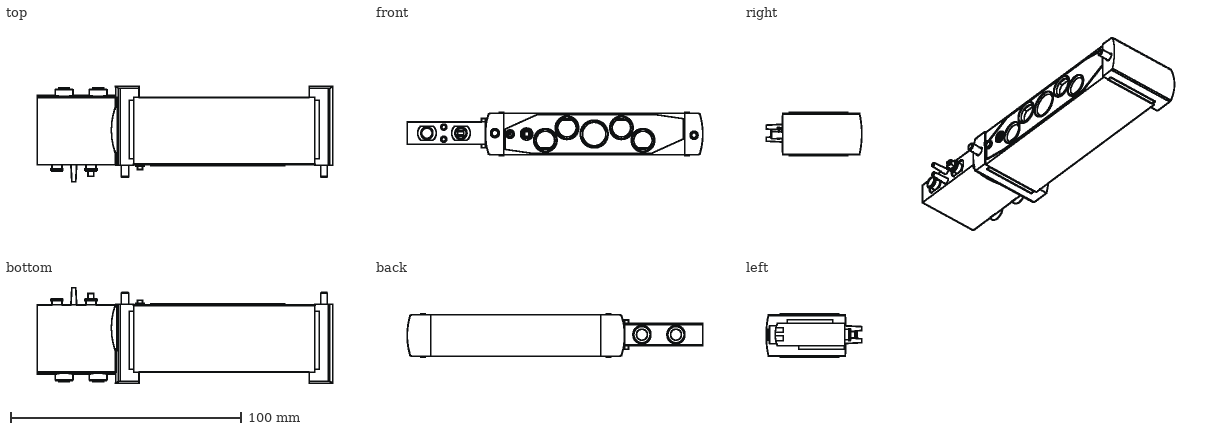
import cadquery as cq


total_length = 128.4
valve_start = 34.0
cap_width = 7.8
cap_depth = 34.4
body_height = 18.1
housing_start = valve_start + cap_width
housing_length = total_length - valve_start - 2 * cap_width
valve_center = (valve_start + total_length) / 2

housing_front = 0.6
housing_back = 29.5
pad_front = 0.3
rim_front = -0.1
pad_half_height = 8.3
pad_end_gap = 0.8
pad_blunt_z = 2.2
pad_sharp_z = 6.7
pad_long_taper = 13.6
pad_short_taper = 11.4

deep_port_depth = 7.7
shallow_port_depth = 2.3
port_chamfer = 0.8
main_port_rim = 12.1
main_port_bore = 10.1
side_port_rim = 10.1
side_port_bore = 8.0
side_port_flat = 3.3
side_port_z = 2.7
inner_port_pitch = 11.8
outer_port_pitch = 21.2

override_x = 51.9
override_rim = 5.3
override_bore = 3.9
override_depth = 1.3
override_button = 3.0
override_button_recess = 0.4
override_socket = 1.8
override_socket_depth = 0.6

guide_x = 44.7
guide_flange_diameter = 3.6
guide_flange_front = -0.4
guide_pin_diameter = 2.3
guide_tip = -1.8
guide_hole = 0.8

cap_bulge = 1.3
cap_back_bulge = 1.0
cap_corner_length = 0.8
cap_corner_height = 0.4
hook_overlap = 2.5
lip_height = 0.32
lip_width = 1.9
lip_front = 3.0
lip_length = 25.3
screw_tip = -5.1
screw_chamfer = 0.4
screw_recess_depth = 0.6
left_screw = {"x": 38.1, "z": 0.4, "diameter": 3.3, "recess": 3.9}
right_screw = {"x": 124.5, "z": -0.5, "diameter": 3.0, "recess": 3.5}

pilot_length = 33.9
pilot_front = 0.3
pilot_back = 30.4
pilot_height = 9.8
pilot_z = 0.4
pilot_bottom = pilot_z - pilot_height / 2
pilot_top = pilot_z + pilot_height / 2
pilot_back_bulge = 0.6
pilot_corner_length = 0.4
pilot_corner_height = 0.5

seat_length = 1.4
tongue_height = 1.5
tongue_length = 19.8
tongue_tip = 32.2
top_tongue_y = 15.3
bottom_tongue_y = 10.3

boss_x = 8.6
boss_pitch = 14.8
boss_recess_diameter = 8.1
boss_recess_height = 6.2
boss_recess_depth = 0.6
boss_shaft = 4.5
boss_flange = 5.3
boss_flange_back = -1.5
boss_flange_front = -2.0
boss_tip_diameter = 4.5
boss_tip = -2.5
prong_size = 2.6
prong_tip = -4.8
prong_slot = 1.3
prong_slot_depth = 0.6

contact_x = 15.9
contact_spacing = 5.3
contact_root = 2.6
contact_end = 1.8
contact_tip = -7.2

button_x = 11.7
button_diameter = 7.8
button_shoulder = 33.1
button_chamfer = 0.4
button_top_diameter = 4.8
button_top = 33.6

slot_length = 3.5
slot_height = 2.0
slot_spacing = 3.6
slot_depth = 0.1
slot_z = 0.6


def box(x0, x1, y0, y1, z0, z1):
    """Axis-aligned block between two opposite corners."""
    return cq.Workplane("XY").box(x1 - x0, y1 - y0, z1 - z0, centered=False).translate((x0, y0, z0))


def rod(x, z, y0, y1, diameter):
    """Cylinder along Y from y0 back to y1."""
    return cq.Workplane("XZ", origin=(x, y1, z)).circle(diameter / 2).extrude(y1 - y0)


def housing_pad():
    """Raised pad on the front face, unchanged by a half turn about the housing centre."""
    half_length = housing_length / 2 - pad_end_gap
    half_outline = [
        (-half_length, pad_blunt_z),
        (-half_length + pad_long_taper, pad_half_height),
        (half_length - pad_short_taper, pad_half_height),
        (half_length, pad_sharp_z),
    ]
    outline = half_outline + [(-x, -z) for x, z in half_outline]
    plane = cq.Workplane("XZ", origin=(valve_center, housing_front, 0))
    return plane.polyline(outline).close().extrude(housing_front - pad_front)


def port_cutter(x, z, bore, depth):
    """Blind bore with a conical mouth."""
    cone = (
        cq.Workplane("XZ", origin=(x, rim_front, z))
        .circle(bore / 2 + port_chamfer)
        .workplane(offset=-port_chamfer)
        .circle(bore / 2)
        .loft()
    )
    return rod(x, z, rim_front, depth, bore).union(cone)


def side_port_cutter(x, z, depth):
    """Side port whose bore is flattened towards the outer face of the housing."""
    cutter = port_cutter(x, z, side_port_bore, depth)
    flat = abs(z) + side_port_flat
    radius = side_port_bore
    keep = box(x - radius, x + radius, rim_front + port_chamfer, depth, -flat, flat)
    mouth = box(x - radius, x + radius, rim_front, rim_front + port_chamfer, -radius, radius)
    return cutter.intersect(keep.union(mouth))


def add_override(housing):
    """Manual override: a socketed button inside a rimmed bore."""
    bore_floor = rim_front + override_depth
    button_front = rim_front + override_button_recess
    half_socket = override_socket / 2
    socket = box(override_x - half_socket, override_x + half_socket,
                 button_front, button_front + override_socket_depth, -half_socket, half_socket)
    button = rod(override_x, 0, button_front, bore_floor, override_button).cut(socket)
    housing = housing.union(rod(override_x, 0, rim_front, housing_front, override_rim))
    housing = housing.cut(rod(override_x, 0, rim_front, bore_floor, override_bore))
    return housing.union(button)


def add_guide_pin(housing):
    """Small flanged pin with a centre hole beside the left cap."""
    flange = rod(guide_x, 0, guide_flange_front, housing_front, guide_flange_diameter)
    pin = rod(guide_x, 0, guide_tip, housing_front, guide_pin_diameter)
    return housing.union(flange).union(pin).cut(rod(guide_x, 0, guide_tip, housing_front, guide_hole))


def make_housing():
    half_height = body_height / 2
    housing = box(housing_start, housing_start + housing_length, housing_front, housing_back,
                  -half_height, half_height)
    housing = housing.union(housing_pad())
    side_ports = []
    for side in (-1, 1):
        side_ports.append((valve_center + side * inner_port_pitch, side_port_z, shallow_port_depth))
        side_ports.append((valve_center + side * outer_port_pitch, -side_port_z, deep_port_depth))
    for x, z, _ in side_ports:
        housing = housing.union(rod(x, z, rim_front, housing_front, side_port_rim))
    housing = housing.union(rod(valve_center, 0, rim_front, housing_front, main_port_rim))
    for x, z, depth in side_ports:
        housing = housing.cut(side_port_cutter(x, z, depth))
    housing = housing.cut(port_cutter(valve_center, 0, main_port_bore, deep_port_depth))
    housing = add_override(housing)
    return add_guide_pin(housing)


def cap_shell():
    """Left end cap: bulged outer and back faces, a hook behind the housing, and two lips."""
    half_height = body_height / 2
    shoulder_z = half_height - cap_corner_height
    inner_x = housing_start + hook_overlap
    shoulder_x = valve_start + cap_bulge
    side_profile = (
        cq.Workplane("XZ")
        .moveTo(inner_x, -half_height)
        .lineTo(shoulder_x + cap_corner_length, -half_height)
        .lineTo(shoulder_x, -shoulder_z)
        .threePointArc((valve_start, 0), (shoulder_x, shoulder_z))
        .lineTo(shoulder_x + cap_corner_length, half_height)
        .lineTo(inner_x, half_height)
        .close()
        .extrude(-cap_depth)
    )
    back_edge = cap_depth - cap_back_bulge
    back_profile = (
        cq.Workplane("YZ", origin=(valve_start, 0, 0))
        .moveTo(0, -half_height)
        .lineTo(back_edge, -half_height)
        .threePointArc((cap_depth, 0), (back_edge, half_height))
        .lineTo(0, half_height)
        .close()
        .extrude(cap_width + hook_overlap)
    )
    housing_space = box(housing_start, inner_x, 0, housing_back, -half_height, half_height)
    lip_top = half_height + lip_height
    lips = box(housing_start - lip_width, housing_start, lip_front, lip_front + lip_length, -lip_top, lip_top)
    return side_profile.intersect(back_profile).cut(housing_space).union(lips)


def add_screw(cap, screw):
    """Mounting screw end standing out of a shallow recess in the front face."""
    x = screw["x"]
    z = screw["z"]
    shank = rod(x, z, screw_tip, screw_recess_depth, screw["diameter"]).faces("<Y").chamfer(screw_chamfer)
    return cap.cut(rod(x, z, 0, screw_recess_depth, screw["recess"])).union(shank)


def tongue(y, z):
    """Curved tongue reaching from the left cap over the pilot unit."""
    root = valve_start + seat_length
    half = tongue_length / 2
    return (
        cq.Workplane("XY", origin=(0, y, z))
        .moveTo(root, -half)
        .lineTo(pilot_length, -half)
        .threePointArc((tongue_tip, 0), (pilot_length, half))
        .lineTo(root, half)
        .close()
        .extrude(tongue_height)
    )


def make_left_cap():
    seat = box(pilot_length, valve_start + seat_length, pilot_front, housing_back, pilot_bottom, pilot_top)
    cap = cap_shell().union(seat)
    cap = cap.union(tongue(top_tongue_y, pilot_top))
    cap = cap.union(tongue(bottom_tongue_y, pilot_bottom - tongue_height))
    return add_screw(cap, left_screw)


def make_right_cap():
    cap = cap_shell().mirror("YZ", (valve_center, 0, 0))
    return add_screw(cap, right_screw)


def pilot_block():
    """Pilot box with a bulged back face and bevelled back edges."""
    shoulder_y = pilot_back - pilot_back_bulge
    bevel_y = shoulder_y - pilot_corner_length
    return (
        cq.Workplane("YZ")
        .moveTo(pilot_front, pilot_bottom)
        .lineTo(bevel_y, pilot_bottom)
        .lineTo(shoulder_y, pilot_bottom + pilot_corner_height)
        .threePointArc((pilot_back, pilot_z), (shoulder_y, pilot_top - pilot_corner_height))
        .lineTo(bevel_y, pilot_top)
        .lineTo(pilot_front, pilot_top)
        .close()
        .extrude(pilot_length)
    )


def add_boss(pilot, x):
    """Flanged boss standing in a flat-sided recess in the front face."""
    floor = pilot_front + boss_recess_depth
    half_width = boss_recess_diameter / 2
    half_height = boss_recess_height / 2
    recess = rod(x, pilot_z, pilot_front, floor, boss_recess_diameter).intersect(
        box(x - half_width, x + half_width, pilot_front, floor, pilot_z - half_height, pilot_z + half_height))
    pilot = pilot.cut(recess)
    pilot = pilot.union(rod(x, pilot_z, boss_flange_back, floor, boss_shaft))
    pilot = pilot.union(rod(x, pilot_z, boss_flange_front, boss_flange_back, boss_flange))
    return pilot.union(rod(x, pilot_z, boss_tip, boss_flange_front, boss_tip_diameter))


def prong(x):
    """Square prong with a slotted end on the second boss."""
    half = prong_size / 2
    half_slot = prong_slot / 2
    block = box(x - half, x + half, prong_tip, boss_tip, pilot_z - half, pilot_z + half)
    slot = box(x - half, x + half, prong_tip, prong_tip + prong_slot_depth,
               pilot_z - half_slot, pilot_z + half_slot)
    return block.cut(slot)


def contact_pin(z):
    """Tapered contact pin on the front face."""
    return (
        cq.Workplane("XZ", origin=(contact_x, pilot_front, z))
        .circle(contact_root / 2)
        .workplane(offset=pilot_front - contact_tip)
        .circle(contact_end / 2)
        .loft()
    )


def back_button(x):
    """Stepped round button on the back face."""
    base_y = pilot_back - pilot_back_bulge
    base = rod(x, pilot_z, base_y, button_shoulder, button_diameter).faces(">Y").chamfer(button_chamfer)
    return base.union(rod(x, pilot_z, button_shoulder, button_top, button_top_diameter))


def make_pilot():
    pilot = pilot_block()
    for index in range(2):
        offset = index * boss_pitch
        pilot = add_boss(pilot, boss_x + offset)
        pilot = pilot.union(back_button(button_x + offset))
    pilot = pilot.union(prong(boss_x + boss_pitch))
    for side in (-1, 1):
        pilot = pilot.union(contact_pin(pilot_z + side * contact_spacing / 2))
        slot_bottom = slot_z + side * slot_spacing / 2 - slot_height / 2
        pilot = pilot.cut(box(0, slot_depth, pilot_back - slot_length, pilot_back,
                              slot_bottom, slot_bottom + slot_height))
    return pilot


housing = make_housing()
left_cap = make_left_cap()
right_cap = make_right_cap()
pilot = make_pilot()

result = cq.Compound.makeCompound([housing.val(), left_cap.val(), right_cap.val(), pilot.val()])